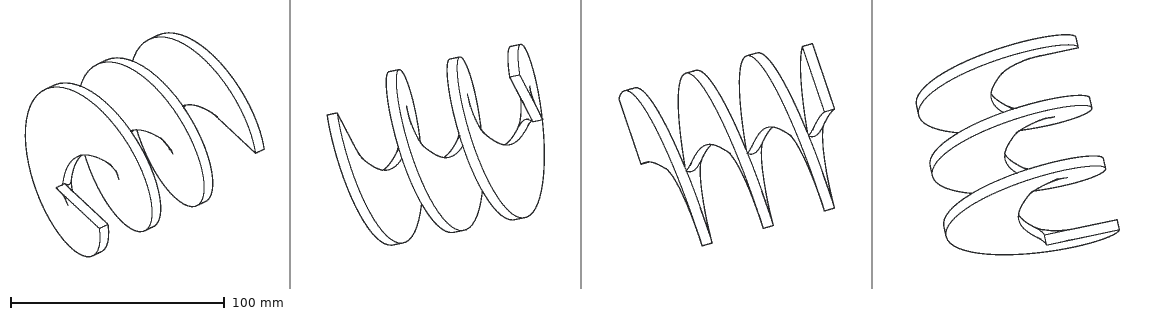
import cadquery as cq

length = 95.0
thickness = 5.0
turns = 3
outer_radius = 40.0
bore_radius = 5.0

rise = length - thickness
pitch = rise / turns
flight_width = outer_radius - bore_radius


def make_flight():
    """Sweep a radial rectangle along a right-handed helix about Z, starting on +X."""
    helix = cq.Workplane(obj=cq.Wire.makeHelix(pitch, rise, outer_radius))
    section = (
        cq.Workplane("XZ")
        .center(bore_radius, 0)
        .rect(flight_width, thickness, centered=False)
    )
    return section.sweep(helix, isFrenet=True)


result = make_flight().rotate((0, 0, 0), (1, 0, 0), -90)